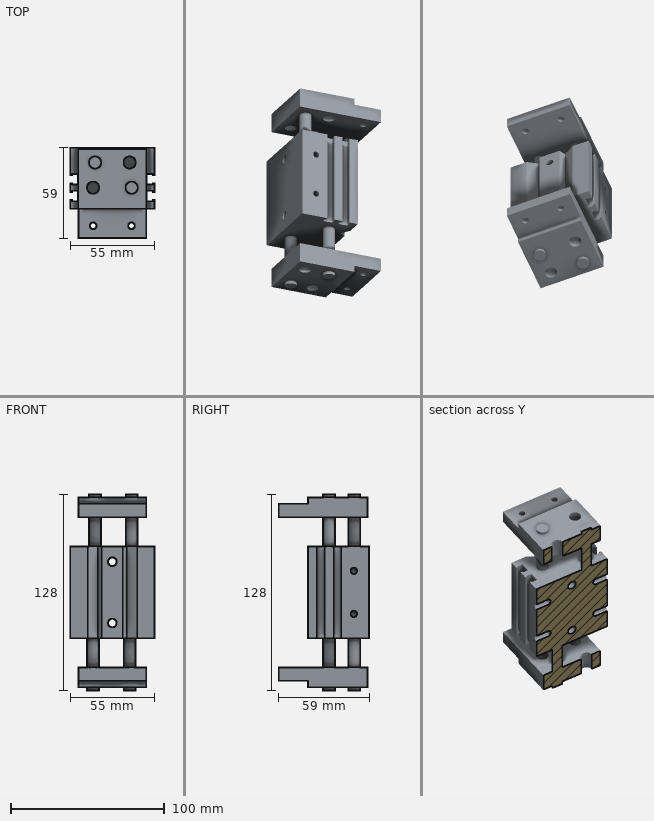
import cadquery as cq
import math

overall_height = 128.0

body_width = 55.0
body_depth = 40.0
body_height = 60.0

plate_width = 44.3
plate_setback = 1.0
plate_length = 58.0
plate_thickness = 13.0
plate_step = 4.2
plate_hole_diameter = 4.2
plate_hole_spacing = 25.0
plate_hole_from_front = 8.0

rod_diameter = 8.0
rod_protrusion = 2.0
rod_back_x = 11.3
rod_front_x = 12.5
rod_back_y = -9.7
rod_front_y = -26.1

slot_centers_y = (-20.6, -31.5)
slot_neck_width = 5.0
slot_neck_depth = 1.3
slot_inner_width = 6.7
slot_depth = 5.1

groove_outer_x = 16.1
groove_bottom_x = 9.5
groove_inner_x = 6.9
groove_depth = 4.0

cross_hole_diameter = 5.5
cross_hole_spacing = 40.0
side_hole_diameter = 4.2
side_hole_spacing = 28.0
side_hole_depth = 10.0
side_hole_y = -10.0
drill_tip_angle = 118.0

half_height = overall_height / 2
half_body_width = body_width / 2
plate_outer_z = half_height - rod_protrusion
plate_inner_z = plate_outer_z - plate_thickness
plate_front_y = -plate_setback - plate_length


def make_body():
    return cq.Workplane("XY").box(body_width, body_depth, body_height).translate((0, -body_depth / 2, 0))


def make_t_slot(center_y, side):
    """T-slot running the full height; side is -1 or +1 along X."""

    def channel(depth, width):
        center_x = side * (half_body_width - depth / 2)
        return cq.Workplane("XY").box(depth, width, body_height).translate((center_x, center_y, 0))

    neck = channel(slot_neck_depth, slot_neck_width)
    inner_channel = channel(slot_depth, slot_inner_width)
    lips = channel(slot_neck_depth, slot_inner_width)
    return inner_channel.cut(lips).union(neck)


def make_groove(side):
    """V-shaped groove running the full height of the front face."""
    return (
        cq.Workplane("XY")
        .workplane(offset=-body_height / 2)
        .moveTo(side * groove_outer_x, -body_depth)
        .lineTo(side * groove_bottom_x, -body_depth + groove_depth)
        .lineTo(side * groove_inner_x, -body_depth)
        .close()
        .extrude(body_height)
    )


def make_cross_holes():
    """Holes through the body from front to back."""
    return (
        cq.Workplane("XZ")
        .rarray(1.3, cross_hole_spacing, 1, 2)
        .circle(cross_hole_diameter / 2)
        .extrude(body_depth)
    )


def make_side_hole(side, z):
    """Blind drilled hole with a conical tip, entering from one side of the body."""
    radius = side_hole_diameter / 2
    tip_length = radius / math.tan(math.radians(drill_tip_angle / 2))
    face_x = side * half_body_width
    full_end_x = side * (half_body_width - side_hole_depth)
    tip_x = side * (half_body_width - side_hole_depth - tip_length)
    return (
        cq.Workplane("XY")
        .moveTo(face_x, 0)
        .lineTo(face_x, radius)
        .lineTo(full_end_x, radius)
        .lineTo(tip_x, 0)
        .close()
        .revolve(360, (0, 0, 0), (1, 0, 0))
        .translate((0, side_hole_y, z))
    )


def make_top_end():
    """Upper plate with its two rods, which end at the top of the body."""
    plate = (
        cq.Workplane("YZ")
        .moveTo(-plate_setback, plate_inner_z)
        .lineTo(-plate_setback, plate_outer_z)
        .lineTo(-body_depth, plate_outer_z)
        .lineTo(-body_depth, plate_outer_z - plate_step)
        .lineTo(plate_front_y, plate_outer_z - plate_step)
        .lineTo(plate_front_y, plate_inner_z)
        .close()
        .extrude(plate_width / 2, both=True)
    )

    plate_base = cq.Workplane("XY").workplane(offset=plate_inner_z)
    mounting_holes = (
        plate_base.center(0, plate_front_y + plate_hole_from_front)
        .rarray(plate_hole_spacing, 1.3, 2, 1)
        .circle(plate_hole_diameter / 2)
        .extrude(plate_thickness)
    )
    clearance_holes = (
        plate_base.pushPoints([(rod_back_x, rod_back_y), (-rod_front_x, rod_front_y)])
        .circle(rod_diameter / 2)
        .extrude(plate_thickness)
    )
    rods = (
        cq.Workplane("XY")
        .workplane(offset=body_height / 2)
        .pushPoints([(-rod_back_x, rod_back_y), (rod_front_x, rod_front_y)])
        .circle(rod_diameter / 2)
        .extrude(half_height - body_height / 2)
    )
    return plate.cut(mounting_holes).cut(clearance_holes).union(rods)


body = make_body().cut(make_cross_holes())
for side in (-1, 1):
    body = body.cut(make_groove(side))
    for slot_y in slot_centers_y:
        body = body.cut(make_t_slot(slot_y, side))
    for hole_z in (-side_hole_spacing / 2, side_hole_spacing / 2):
        body = body.cut(make_side_hole(side, hole_z))

top_end = make_top_end()
bottom_end = top_end.rotate((0, 0, 0), (0, 1, 0), 180)

result = body.union(top_end).union(bottom_end)